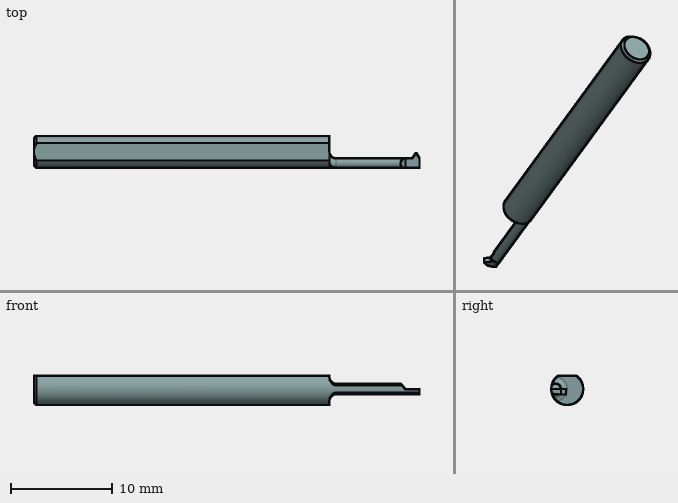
import cadquery as cq
import math


OVERALL_LENGTH = 38.1
SHANK_DIAMETER = 3.175
SHANK_RADIUS = SHANK_DIAMETER / 2
SHANK_LENGTH = 29.2
SHANK_CHAMFER = 0.25
HEIGHT_OVER_FLAT = 2.91
FLAT_Z = HEIGHT_OVER_FLAT - SHANK_RADIUS

NECK_RADIUS = 0.53
NECK_AXIS_Y = -1.16
NECK_INNER_Y = NECK_AXIS_Y + NECK_RADIUS
NECK_FILLET = 0.64
FILLET_END_X = SHANK_LENGTH + NECK_FILLET

RAKE_LENGTH = 1.4
RAMP_ANGLE = 48.0
TOOTH_ANGLE = 60.0
TOOTH_TIP_Y = -0.11
TOOTH_TIP_WIDTH = 0.1
TOOTH_ROOT_RADIUS = 0.25
TOOTH_HEIGHT = TOOTH_TIP_Y - NECK_INNER_Y
TOOTH_FLANK_RUN = TOOTH_HEIGHT * math.tan(math.radians(TOOTH_ANGLE / 2))


def make_shank():
    """Round shank with a chamfered rear end and a flat along its top."""
    shank = cq.Workplane("YZ").circle(SHANK_RADIUS).extrude(SHANK_LENGTH)
    shank = shank.faces("<X").chamfer(SHANK_CHAMFER)
    above_flat = (
        cq.Workplane("XY")
        .workplane(offset=FLAT_Z)
        .rect(2 * SHANK_LENGTH, SHANK_DIAMETER)
        .extrude(SHANK_RADIUS)
    )
    return shank.cut(above_flat)


def make_neck():
    """Neck turned about its own axis, flaring through a fillet into the shank face."""
    flare_radius = NECK_RADIUS + NECK_FILLET
    arc_offset = NECK_FILLET * (1 - math.sqrt(0.5))
    neck = (
        cq.Workplane("XY")
        .moveTo(SHANK_LENGTH, 0)
        .lineTo(SHANK_LENGTH, flare_radius)
        .threePointArc(
            (SHANK_LENGTH + arc_offset, NECK_RADIUS + arc_offset),
            (FILLET_END_X, NECK_RADIUS),
        )
        .lineTo(OVERALL_LENGTH, NECK_RADIUS)
        .lineTo(OVERALL_LENGTH, 0)
        .close()
        .revolve(360, (0, 0, 0), (1, 0, 0))
        .translate((0, NECK_AXIS_Y, 0))
    )
    shank_envelope = cq.Workplane("YZ").circle(SHANK_RADIUS).extrude(OVERALL_LENGTH)
    return neck.intersect(shank_envelope)


def make_rake_cut():
    """Material removed above the rake face, with a ramp running back up to the neck."""
    rake_start_x = OVERALL_LENGTH - RAKE_LENGTH
    cut_height = SHANK_RADIUS
    ramp_run = cut_height / math.tan(math.radians(RAMP_ANGLE))
    return (
        cq.Workplane("XZ")
        .moveTo(OVERALL_LENGTH, 0)
        .lineTo(rake_start_x, 0)
        .lineTo(rake_start_x - ramp_run, cut_height)
        .lineTo(OVERALL_LENGTH, cut_height)
        .close()
        .extrude(SHANK_RADIUS, both=True)
    )


def make_tooth():
    """Threading tooth pointing +Y, from the rake face down to the neck underside."""
    tip_front_x = OVERALL_LENGTH - TOOTH_FLANK_RUN
    tip_rear_x = tip_front_x - TOOTH_TIP_WIDTH
    root_x = tip_rear_x - TOOTH_FLANK_RUN
    turn = math.radians(90 - TOOTH_ANGLE / 2)
    root_tangent = TOOTH_ROOT_RADIUS * math.tan(turn / 2)
    arc_start_x = root_x - root_tangent

    def root_arc_point(angle):
        return (
            arc_start_x + TOOTH_ROOT_RADIUS * math.sin(angle),
            NECK_INNER_Y + TOOTH_ROOT_RADIUS * (1 - math.cos(angle)),
        )

    return (
        cq.Workplane("XY")
        .moveTo(OVERALL_LENGTH, NECK_AXIS_Y)
        .lineTo(OVERALL_LENGTH, NECK_INNER_Y)
        .lineTo(tip_front_x, TOOTH_TIP_Y)
        .lineTo(tip_rear_x, TOOTH_TIP_Y)
        .lineTo(*root_arc_point(turn))
        .threePointArc(root_arc_point(turn / 2), (arc_start_x, NECK_INNER_Y))
        .lineTo(arc_start_x, NECK_AXIS_Y)
        .close()
        .extrude(-NECK_RADIUS)
    )


neck = make_neck().cut(make_rake_cut())
result = make_shank().union(neck).union(make_tooth())